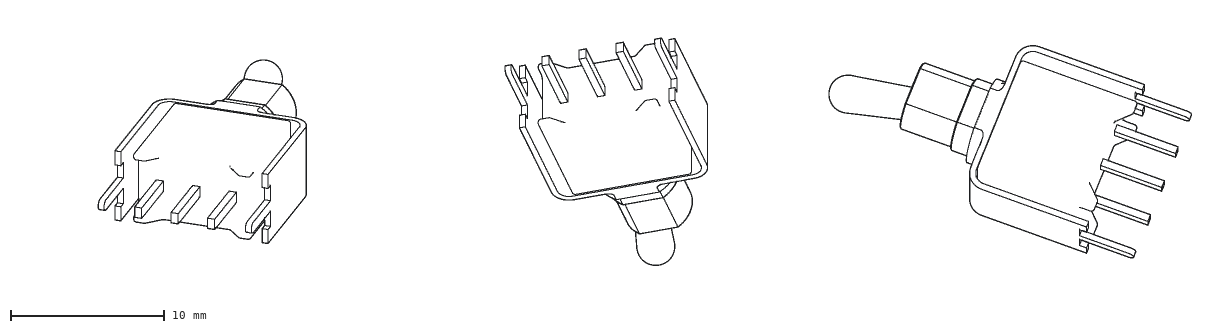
import cadquery as cq
import math


LENGTH = 22.65
DEPTH = 5.0

BRACKET_WIDTH = 10.55
SHEET = 0.4
BEND_RADIUS = 1.2
LEG_END = -8.52
LEG_SHOULDER = -8.02
LEG_TAB = 1.02
LEG_PIN_END = -11.8
PIN_DEPTH = 0.75

COLLAR_RADIUS = 2.9
COLLAR_TOP = 0.77
COLLAR_FILLET = 0.3

BASE_RADIUS = 2.5
BASE_FLATS = 4.17
BASE_TOP = 2.04
NECK_RADIUS = 2.29
NECK_FLATS = 3.75
NECK_TOP = 5.65
RIM_CHAMFER = 0.07

LEVER_TOP = 10.83
LEVER_TILT = 11.5
PIVOT_Y = 2.72
BALL_RADIUS = 1.25
LEVER_PIVOT_RADIUS = 1.0

CASE_WIDTH = 8.09
CASE_END = -7.57
FOOT_TIP_WIDTH = 0.82
FOOT_DEPTH = 0.5
CASE_FILLET = 0.2

TERMINAL_PITCH = 2.51
TERMINAL_WIDTH = 0.5
TERMINAL_END = LEVER_TOP - LENGTH


def block(width, depth, y_low, y_high):
    """Box centred on the Y axis, reaching from y_low to y_high."""
    return cq.Workplane("XY").box(width, y_high - y_low, depth).translate((0, (y_low + y_high) / 2, 0))


def flatted_round(radius, across_flats, y_low, y_high):
    """Cylinder along Y with two flats facing +Z and -Z."""
    cylinder = cq.Workplane("XZ", origin=(0, y_low, 0)).circle(radius).extrude(y_low - y_high)
    return cylinder.intersect(block(2 * radius, across_flats, y_low, y_high))


def make_bracket():
    outer = block(BRACKET_WIDTH, DEPTH, LEG_PIN_END, 0).edges("|Z and >Y").fillet(BEND_RADIUS)
    inner = block(BRACKET_WIDTH - 2 * SHEET, DEPTH, LEG_PIN_END, -SHEET)
    inner = inner.edges("|Z and >Y").fillet(BEND_RADIUS - SHEET)

    legs = block(BRACKET_WIDTH, DEPTH, LEG_END, 0)
    legs = legs.cut(block(BRACKET_WIDTH, DEPTH - 2 * LEG_TAB, LEG_END, LEG_SHOULDER))
    tip_radius = PIN_DEPTH / 2
    tip_centre = LEG_PIN_END + tip_radius
    pins = block(BRACKET_WIDTH, PIN_DEPTH, tip_centre, LEG_SHOULDER)
    tip = cq.Workplane("YZ").center(tip_centre, 0).circle(tip_radius).extrude(BRACKET_WIDTH / 2, both=True)
    pins = pins.union(tip)
    return outer.cut(inner).intersect(legs.union(pins))


def make_collar():
    """Round collar flaring into the bracket plate, trimmed to the bracket depth."""
    flare_radius = COLLAR_RADIUS + COLLAR_FILLET
    profile = (
        cq.Workplane("XY")
        .moveTo(0, -SHEET)
        .lineTo(flare_radius, -SHEET)
        .lineTo(flare_radius, 0)
        .radiusArc((COLLAR_RADIUS, COLLAR_FILLET), COLLAR_FILLET)
        .lineTo(COLLAR_RADIUS, COLLAR_TOP)
        .lineTo(0, COLLAR_TOP)
        .close()
    )
    collar = profile.revolve(360, (0, 0, 0), (0, 1, 0))
    return collar.intersect(block(BRACKET_WIDTH, DEPTH, -SHEET, COLLAR_TOP))


def make_bushing():
    base = flatted_round(BASE_RADIUS, BASE_FLATS, 0, BASE_TOP).faces(">Y").chamfer(RIM_CHAMFER)
    neck = flatted_round(NECK_RADIUS, NECK_FLATS, 0, NECK_TOP).faces(">Y").chamfer(RIM_CHAMFER)
    return base.union(neck)


def make_lever():
    """Lever revolved upright about the Y axis, then tilted about the pivot."""
    ball_height = (LEVER_TOP - BALL_RADIUS - PIVOT_Y) / math.cos(math.radians(LEVER_TILT))
    lever = (
        cq.Workplane("XY")
        .lineTo(LEVER_PIVOT_RADIUS, 0)
        .lineTo(BALL_RADIUS, ball_height)
        .radiusArc((0, ball_height + BALL_RADIUS), -BALL_RADIUS)
        .close()
        .revolve(360, (0, 0, 0), (0, 1, 0))
    )
    return lever.rotate((0, 0, 0), (0, 0, 1), LEVER_TILT).translate((0, PIVOT_Y, 0))


def make_case():
    """Block with a foot at each lower corner; the inner side of a foot slopes at 45 degrees."""
    side = CASE_WIDTH / 2
    tip = side - FOOT_TIP_WIDTH
    root = tip - (CASE_END - LEG_END)
    outline = [(side, CASE_END), (side, LEG_END), (tip, LEG_END), (root, CASE_END)]
    foot = (
        cq.Workplane("XY", origin=(0, 0, DEPTH / 2 - FOOT_DEPTH))
        .polyline(outline)
        .close()
        .extrude(FOOT_DEPTH)
    )
    feet = foot.union(foot.mirror("YZ"))
    feet = feet.union(feet.mirror("XY"))
    case = block(CASE_WIDTH, DEPTH, CASE_END, -SHEET).union(feet).clean()
    return case.edges().fillet(CASE_FILLET)


def make_terminals():
    terminal = block(TERMINAL_WIDTH, PIN_DEPTH, TERMINAL_END, CASE_END + SHEET)
    terminals = terminal
    for side in (-1, 1):
        terminals = terminals.union(terminal.translate((side * TERMINAL_PITCH, 0, 0)))
    return terminals


result = (
    make_bracket()
    .union(make_collar())
    .union(make_bushing())
    .union(make_lever())
    .union(make_case())
    .union(make_terminals())
)